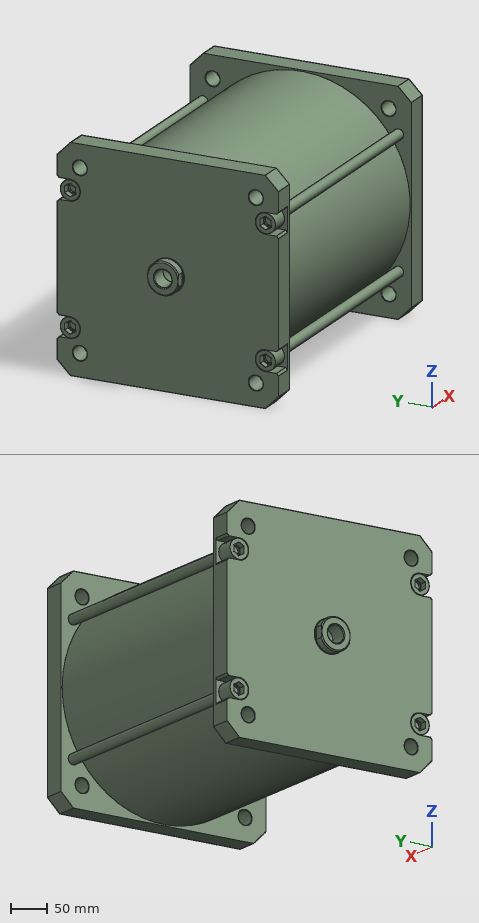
import cadquery as cq
import math

total_length = 455.0
plate_side = 340.0
plate_thickness = 33.5
plate_corner_cut = 20.5

rod_protrusion = 15.5
rod_diameter = 50.0
rod_across_flats = 47.0
rod_chamfer = 2.0
flats_gap = 2.7
collar_length = 1.5
collar_diameter = 51.0
thread_diameter = 26.5
thread_depth = 27.5
thread_chamfer = 1.5
drill_point_angle = 118.0

mount_diameter = 22.0
mount_chamfer = 0.7
mount_offset = 135.0

barrel_diameter = 336.2

bolt_offset_y = 150.0
bolt_offset_z = 100.0
bolt_diameter = 16.0
bolt_engagement = 22.8
head_diameter = 30.0
socket_across_flats = 17.0
socket_depth = 10.0
socket_drill_diameter = 14.5
socket_drill_depth = 13.5
slot_width = 32.0
slot_depth = 27.8
slot_edge_chamfer = 3.0

back_face = total_length - rod_protrusion
back_plate_start = back_face - plate_thickness
bolt_end = back_plate_start + bolt_engagement

mount_points = [(y, z) for y in (-mount_offset, mount_offset) for z in (-mount_offset, mount_offset)]
bolt_points = [(y, z) for y in (-bolt_offset_y, bolt_offset_y) for z in (-bolt_offset_z, bolt_offset_z)]


def cross_section(x):
    """Sketch plane across the axis at x, with local axes Y and Z."""
    return cq.Workplane("YZ", origin=(x, 0, 0))


def bar(diameter, start, end, points=((0, 0),)):
    """Round bars along X, one at each (y, z) point."""
    return cross_section(start).pushPoints(points).circle(diameter / 2).extrude(end - start)


def make_plate(start):
    """Square plate with cut corners and four mounting holes, chamfered on the -X side."""
    end = start + plate_thickness
    plate = cross_section(start).rect(plate_side, plate_side).extrude(plate_thickness)
    plate = plate.edges("|X").chamfer(plate_corner_cut)
    plate = plate.cut(bar(mount_diameter, start, end, mount_points))
    hole_rims = plate.faces("<X").edges("%CIRCLE")
    return hole_rims.chamfer(mount_chamfer)


def make_head_slot(y, z):
    """U-shaped slot that opens at the plate's side, its mouth widened by chamfers."""
    side = math.copysign(1, y)
    edge = side * plate_side / 2
    half_width = slot_width / 2
    half_mouth = half_width + slot_edge_chamfer
    chamfer_start = edge - side * slot_edge_chamfer
    return (
        cross_section(0)
        .moveTo(y, z + half_width)
        .lineTo(chamfer_start, z + half_width)
        .lineTo(edge, z + half_mouth)
        .lineTo(edge, z - half_mouth)
        .lineTo(chamfer_start, z - half_width)
        .lineTo(y, z - half_width)
        .threePointArc((y - side * half_width, z), (y, z + half_width))
        .close()
        .extrude(slot_depth)
    )


def make_front_plate():
    """Plate bored for the piston rod and the tie bolts, with a slot for each bolt head."""
    plate = make_plate(0)
    plate = plate.cut(bar(rod_diameter, 0, plate_thickness))
    plate = plate.cut(bar(bolt_diameter, 0, plate_thickness, bolt_points))
    for y, z in bolt_points:
        plate = plate.cut(make_head_slot(y, z))
    return plate


def make_back_plate():
    """Plate with blind holes for the ends of the tie bolts."""
    return make_plate(back_plate_start).cut(bar(bolt_diameter, back_plate_start, bolt_end, bolt_points))


def make_barrel():
    """Cylinder that fills the space between the plates."""
    return bar(barrel_diameter, plate_thickness, back_plate_start)


def make_piston_rod():
    """Rod end with two wrench flats, a collar and a drilled thread hole."""
    rod = bar(rod_diameter, -rod_protrusion, plate_thickness).faces("<X").chamfer(rod_chamfer)
    rod = rod.union(bar(collar_diameter, -collar_length, 0))

    flats_length = rod_protrusion - flats_gap
    flats_end = cross_section(-rod_protrusion)
    waste = flats_end.rect(2 * rod_diameter, 2 * rod_diameter).extrude(flats_length)
    waste = waste.cut(flats_end.rect(rod_across_flats, 2 * rod_diameter).extrude(flats_length))
    rod = rod.cut(waste)

    thread_radius = thread_diameter / 2
    hole_bottom = thread_depth - rod_protrusion
    point_length = thread_radius / math.tan(math.radians(drill_point_angle / 2))
    hole = (
        cq.Workplane("XY")
        .moveTo(-rod_protrusion, 0)
        .lineTo(-rod_protrusion, thread_radius + thread_chamfer)
        .lineTo(-rod_protrusion + thread_chamfer, thread_radius)
        .lineTo(hole_bottom, thread_radius)
        .lineTo(hole_bottom + point_length, 0)
        .close()
        .revolve(360, (0, 0, 0), (1, 0, 0))
    )
    return rod.cut(hole)


def make_tie_bolt(y, z):
    """Long bolt with a flush socket head, its hex socket drilled deeper in the middle."""
    head = bar(head_diameter, 0, slot_depth, [(y, z)])
    bolt = head.union(bar(bolt_diameter, slot_depth, bolt_end, [(y, z)]))
    across_corners = socket_across_flats / math.cos(math.pi / 6)
    socket = (
        cross_section(0)
        .center(y, z)
        .transformed(rotate=(0, 0, 90))
        .polygon(6, across_corners)
        .extrude(socket_depth)
    )
    drilling = bar(socket_drill_diameter, 0, socket_drill_depth, [(y, z)])
    return bolt.cut(socket).cut(drilling)


front_plate = make_front_plate()
back_plate = make_back_plate()
barrel = make_barrel()
piston_rod = make_piston_rod()
tie_bolts = [make_tie_bolt(y, z).val() for y, z in bolt_points]

result = cq.Compound.makeCompound(
    [front_plate.val(), back_plate.val(), barrel.val(), piston_rod.val(), *tie_bolts]
)